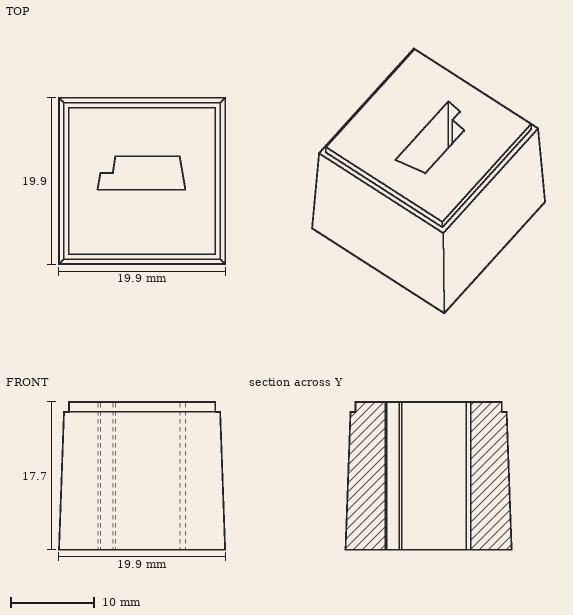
import cadquery as cq

base_side = 19.91
shoulder_side = 18.72
body_height = 16.5

step_side = 17.52
step_height = 1.2
total_height = body_height + step_height

opening_front_y = -1.05
opening_back_y = 2.95
ledge_y = 0.94
front_left_x = -5.32
front_right_x = 5.18
back_left_x = -3.19
back_right_x = 4.48
ledge_outer_x = -4.98
ledge_inner_x = -3.48


def make_body():
    """Square frustum narrowing from the base to the shoulder."""
    return (
        cq.Workplane("XY")
        .rect(base_side, base_side)
        .workplane(offset=body_height)
        .rect(shoulder_side, shoulder_side)
        .loft(ruled=True)
    )


def make_step():
    """Raised square centred on the shoulder."""
    return (
        cq.Workplane("XY", origin=(0, 0, body_height))
        .rect(step_side, step_side)
        .extrude(step_height)
    )


def make_opening():
    """Trapezoidal through opening with a notch in its back left corner."""
    outline = [
        (front_left_x, opening_front_y),
        (front_right_x, opening_front_y),
        (back_right_x, opening_back_y),
        (back_left_x, opening_back_y),
        (ledge_inner_x, ledge_y),
        (ledge_outer_x, ledge_y),
    ]
    return cq.Workplane("XY").polyline(outline).close().extrude(total_height)


result = make_body().union(make_step()).cut(make_opening())